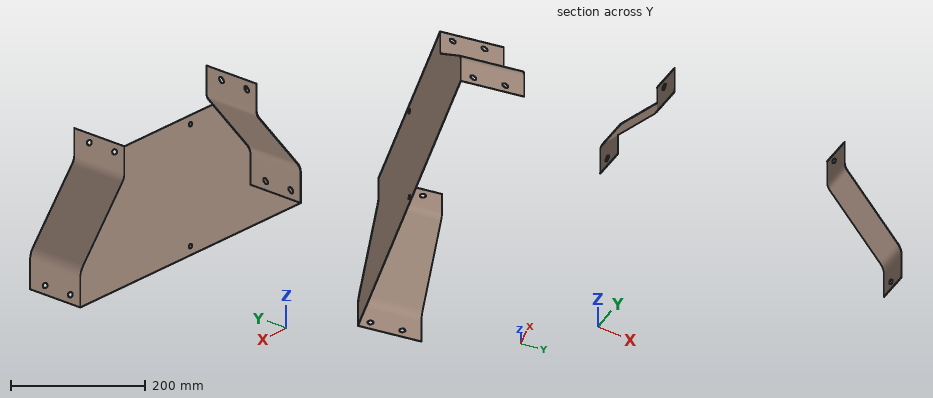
import cadquery as cq

base_width = 500.0
top_width = 300.0
depth = 100.0
height = 230.0
sheet_thickness = 0.8

slope_start_height = 58.6
slope_rise = 120.0
slope_end_height = slope_start_height + slope_rise
lower_bend_radius = 30.0
upper_bend_radius = 20.0

hole_diameter = 7.0
hole_edge_distance = 15.0
hole_heights = (hole_edge_distance, height - hole_edge_distance)

slot_length = 10.5
slot_width = hole_diameter
slot_tilt = 45.0
slot_depths = (20.0, 70.0)


def tapered_block():
    """Solid block with the tapered outline, before its bends are rounded."""
    half_outline = [
        (base_width / 2, 0),
        (base_width / 2, slope_start_height),
        (top_width / 2, slope_end_height),
        (top_width / 2, height),
    ]
    mirrored_half = [(-x, z) for x, z in reversed(half_outline)]
    return cq.Workplane("XZ").polyline(half_outline + mirrored_half).close().extrude(-depth)


def round_bends(block, corner_x, corner_z, radius):
    """Round the pair of depthwise edges through (+-corner_x, corner_z)."""
    for side in (-1, 1):
        corner = (side * corner_x, depth / 2, corner_z)
        block = block.edges(cq.selectors.NearestToPointSelector(corner)).fillet(radius)
    return block


def bent_sheet():
    """Front plate with a bent wall along each side; top, bottom and back are open."""
    block = tapered_block()
    block = round_bends(block, base_width / 2, slope_start_height, lower_bend_radius)
    block = round_bends(block, top_width / 2, slope_end_height, upper_bend_radius)
    return block.faces("<Z or >Z or >Y").shell(-sheet_thickness)


def plate_holes():
    """Cutters for the holes on the centre line of the front plate."""
    centres = [(0, z) for z in hole_heights]
    return cq.Workplane("XZ").pushPoints(centres).circle(hole_diameter / 2).extrude(-depth)


def wall_slots(side):
    """Cutters for the slots of one side wall (side -1 or +1); the two walls are tilted opposite ways."""
    centres = [(y, z) for y in slot_depths for z in hole_heights]
    slots = cq.Workplane("YZ").pushPoints(centres).slot2D(slot_length, slot_width, -side * slot_tilt)
    return slots.extrude(side * base_width / 2)


result = bent_sheet().cut(plate_holes())
for wall_side in (-1, 1):
    result = result.cut(wall_slots(wall_side))